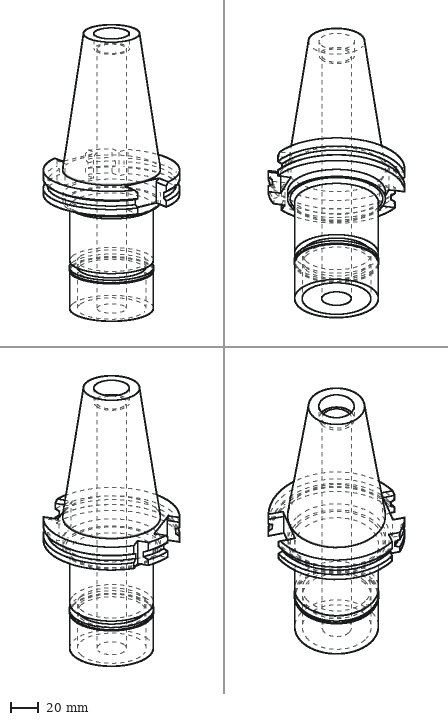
import cadquery as cq
import math

TOTAL_LENGTH = 206.8

GAUGE_RADIUS = 35.0
TAPER_LENGTH = 101.7
TAPER_RATIO = 7 / 24
GAUGE_Z = TOTAL_LENGTH - TAPER_LENGTH
TAPER_TIP_RADIUS = GAUGE_RADIUS - TAPER_LENGTH * TAPER_RATIO / 2

FLANGE_RADIUS = 48.8
FLANGE_TOP_DROP = 1.0
FLANGE_BOTTOM_DROP = 19.2
FLANGE_TOP_Z = GAUGE_Z - FLANGE_TOP_DROP
FLANGE_BOTTOM_Z = GAUGE_Z - FLANGE_BOTTOM_DROP
FLANGE_THICKNESS = FLANGE_TOP_Z - FLANGE_BOTTOM_Z
GROOVE_Z = 93.9
GROOVE_ROOT_RADIUS = 46.0
GROOVE_ROOT_WIDTH = 3.7
GROOVE_FLANK_ANGLE = 30.0
GROOVE_ROOT_HALF = GROOVE_ROOT_WIDTH / 2
GROOVE_FLANK = (FLANGE_RADIUS - GROOVE_ROOT_RADIUS) * math.tan(math.radians(GROOVE_FLANK_ANGLE))
GROOVE_MOUTH_HALF = GROOVE_ROOT_HALF + GROOVE_FLANK

SLOT_WIDTH = 25.6
SLOT_CHAMFER = 2.5
LEFT_SLOT_FLOOR = 37.6
RIGHT_SLOT_FLOOR = 35.4
NOTCH_OFFSET = 30.2

SHANK_RADIUS = 30.0
COLLAR_BOTTOM_Z = 80.2
SHOULDER_BEVEL = 3.0
SHANK_BOTTOM_Z = 36.0
NECK_RADIUS = 24.5

BORE_RADIUS = 10.5
COUNTERBORE_RADIUS = 12.6
COUNTERBORE_DEPTH = 11.4

NUT_RADIUS = SHANK_RADIUS
RING_TOP_Z = 31.0
RING_HEIGHT = 2.0
RING_OVERHANG = 0.2
RING_RADIUS = NUT_RADIUS + RING_OVERHANG
RING_BOTTOM_Z = RING_TOP_Z - RING_HEIGHT
NUT_CHAMFER = 0.6


def turned_blank():
    """Solid of revolution from the neck up to the tip of the taper."""
    profile = [
        (0, 0),
        (NECK_RADIUS, 0),
        (NECK_RADIUS, SHANK_BOTTOM_Z),
        (SHANK_RADIUS, SHANK_BOTTOM_Z),
        (SHANK_RADIUS, COLLAR_BOTTOM_Z - SHOULDER_BEVEL),
        (SHANK_RADIUS + SHOULDER_BEVEL, COLLAR_BOTTOM_Z),
        (GAUGE_RADIUS, COLLAR_BOTTOM_Z),
        (GAUGE_RADIUS, FLANGE_BOTTOM_Z),
        (FLANGE_RADIUS, FLANGE_BOTTOM_Z),
        (FLANGE_RADIUS, GROOVE_Z - GROOVE_MOUTH_HALF),
        (GROOVE_ROOT_RADIUS, GROOVE_Z - GROOVE_ROOT_HALF),
        (GROOVE_ROOT_RADIUS, GROOVE_Z + GROOVE_ROOT_HALF),
        (FLANGE_RADIUS, GROOVE_Z + GROOVE_MOUTH_HALF),
        (FLANGE_RADIUS, FLANGE_TOP_Z),
        (GAUGE_RADIUS, FLANGE_TOP_Z),
        (GAUGE_RADIUS, GAUGE_Z),
        (TAPER_TIP_RADIUS, TOTAL_LENGTH),
        (0, TOTAL_LENGTH),
    ]
    return cq.Workplane("XZ").polyline(profile).close().revolve(360, (0, 0, 0), (0, 1, 0))


def slot_cutter(floor, side):
    """Driving slot through the flange, flared at the top; side is +1 for +X, -1 for -X."""
    half = SLOT_WIDTH / 2
    flared_half = half + SLOT_CHAMFER
    section = [
        (-half, FLANGE_BOTTOM_Z),
        (half, FLANGE_BOTTOM_Z),
        (half, FLANGE_TOP_Z - SLOT_CHAMFER),
        (flared_half, FLANGE_TOP_Z),
        (-flared_half, FLANGE_TOP_Z),
        (-half, FLANGE_TOP_Z - SLOT_CHAMFER),
    ]
    depth = FLANGE_RADIUS - floor
    return cq.Workplane("YZ", origin=(side * floor, 0, 0)).polyline(section).close().extrude(side * depth)


def notch_cutter():
    """Square-cornered notch through the flange rim in the -X, +Y quadrant."""
    size = FLANGE_RADIUS - NOTCH_OFFSET
    return (
        cq.Workplane("XY", origin=(-FLANGE_RADIUS, NOTCH_OFFSET, FLANGE_BOTTOM_Z))
        .box(size, size, FLANGE_THICKNESS, centered=False)
    )


def make_holder():
    """Taper, flange, shank and neck with the stepped bore through them."""
    bore = cq.Workplane("XY").circle(BORE_RADIUS).extrude(TOTAL_LENGTH)
    counterbore = (
        cq.Workplane("XY", origin=(0, 0, TOTAL_LENGTH - COUNTERBORE_DEPTH))
        .circle(COUNTERBORE_RADIUS)
        .extrude(COUNTERBORE_DEPTH)
    )
    holder = turned_blank().cut(bore).cut(counterbore)
    for floor, side in ((LEFT_SLOT_FLOOR, -1), (RIGHT_SLOT_FLOOR, 1)):
        holder = holder.cut(slot_cutter(floor, side))
    return holder.cut(notch_cutter())


def make_ring():
    """Thin ring lying on the nut."""
    return (
        cq.Workplane("XY", origin=(0, 0, RING_BOTTOM_Z))
        .circle(RING_RADIUS)
        .circle(NECK_RADIUS)
        .extrude(RING_HEIGHT)
    )


def make_nut():
    """Plain round clamping nut with a small chamfer around its top edge."""
    sleeve = cq.Workplane("XY").circle(NUT_RADIUS).extrude(RING_BOTTOM_Z)
    sleeve = sleeve.faces(">Z").edges().chamfer(NUT_CHAMFER)
    return sleeve.cut(cq.Workplane("XY").circle(NECK_RADIUS).extrude(RING_BOTTOM_Z))


holder = make_holder()
ring = make_ring()
nut = make_nut()

result = cq.Compound.makeCompound([holder.val(), ring.val(), nut.val()])